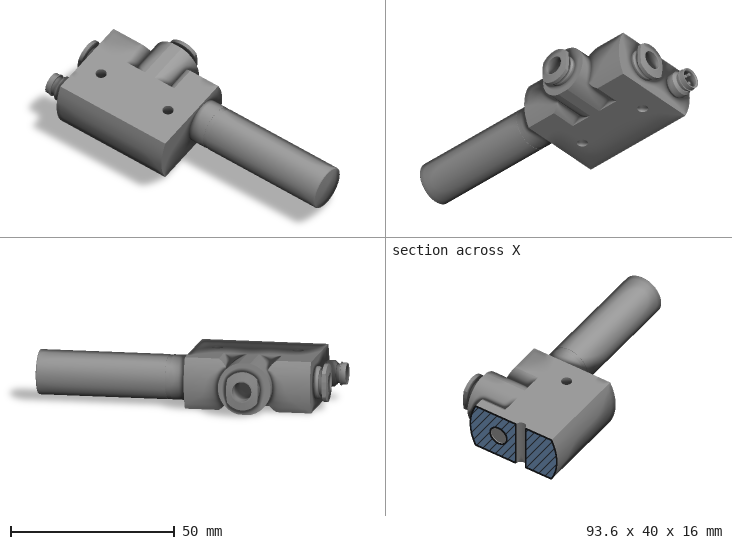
import cadquery as cq
import math

BODY_LENGTH = 39.2
BODY_WIDTH = 32.0
BODY_HEIGHT = 16.0
SIDE_BULGE = 2.0

BOSS_X = 19.65
BOSS_RADIUS = 8.2
BOSS_END_Y = 19.8

POCKET_HALF_WIDTH = 9.05
POCKET_FLOOR_Y = 5.5
POCKET_INNER_OFFSET = 6.4
POCKET_WALL_RADIUS = 6.0

HOLE_DIAMETER = 3.4
HOLE_SPACING = 25.0
HOLES_CENTRE_X = 19.7
HOLE_Y = -2.65

TUBE_Y = 5.55
TUBE_DIAMETER = 13.8
TUBE_LENGTH = 47.5
GROOVE_DIAMETER = 13.6
GROOVE_START = 5.1
GROOVE_WIDTH = 1.4
DOME_DIAMETER = 13.4
DOME_HEIGHT = 0.85
END_CHAMFER_LENGTH = 0.2

FITTING_HEIGHT = 4.2
FLANGE_DIAMETER = 10.0
FLANGE_RIM_DIAMETER = 9.2
FLANGE_CYLINDER_HEIGHT = 0.9
FLANGE_HEIGHT = 1.4
NECK_DIAMETER = 8.0
RING_BASE_HEIGHT = 2.6
RING_EDGE_HEIGHT = 3.8
RING_RADIUS = 5.85
RING_FACE_RADIUS = 3.4
RING_FLAT_OFFSET = 4.9
RING_FLAT_HALF_LENGTH = 1.1
RING_SHOULDER_OFFSET = 4.6
BORE_DIAMETER = 6.0
BORE_DEPTH = 12.0

PLUG_Y = -8.9
PLUG_LENGTH = 6.9
PLUG_COLLAR_RADIUS = 4.0
PLUG_BASE_RADIUS = 3.5
PLUG_COLLAR_START = 0.85
PLUG_COLLAR_END = 3.05
PLUG_CONE_END = 3.9
PLUG_CONE_RADIUS = 3.3
PLUG_NECK_RADIUS = 3.0
PLUG_BEAD_START = 5.0
PLUG_BEAD_END = 5.25
PLUG_BEAD_RADIUS = 3.6
PLUG_TIP_RADIUS = 3.35
SOCKET_DIAMETER = 5.4
SOCKET_LIP_CHAMFER = 0.3
SOCKET_DEPTH = 4.0
PIN_DIAMETER = 1.0
PIN_CIRCLE_RADIUS = 1.65
PIN_LENGTH = 3.5
PIN_ANGLES = (-90, 0, 90)

TOP_Z = BODY_HEIGHT / 2
SIDE_Y = BODY_WIDTH / 2


def revolve_profile(points):
    """Solid of revolution about Z from (radius, height) points."""
    return cq.Workplane("XZ").polyline(points).close().revolve(360, (0, 0), (0, 1))


def make_block():
    edge_y = SIDE_Y - SIDE_BULGE
    return (
        cq.Workplane("YZ")
        .moveTo(-edge_y, -TOP_Z)
        .lineTo(edge_y, -TOP_Z)
        .threePointArc((SIDE_Y, 0), (edge_y, TOP_Z))
        .lineTo(-edge_y, TOP_Z)
        .threePointArc((-SIDE_Y, 0), (-edge_y, -TOP_Z))
        .close()
        .extrude(BODY_LENGTH)
    )


def make_boss():
    length = BOSS_END_Y - POCKET_FLOOR_Y
    cylinder = (
        cq.Workplane("XZ", origin=(BOSS_X, BOSS_END_Y, 0))
        .circle(BOSS_RADIUS)
        .extrude(length)
    )
    slab = cq.Workplane("XY").box(BODY_LENGTH, BODY_WIDTH * 2, BODY_HEIGHT)
    return cylinder.intersect(slab.translate((BOSS_X, 0, 0)))


def make_pocket():
    """Upper relief with convex sloping walls; the boss is added back inside it."""
    inner_z = math.sqrt(BOSS_RADIUS**2 - POCKET_INNER_OFFSET**2)
    length = BODY_WIDTH - POCKET_FLOOR_Y
    return (
        cq.Workplane("XZ", origin=(BOSS_X, BODY_WIDTH, 0))
        .moveTo(-POCKET_HALF_WIDTH, TOP_Z)
        .radiusArc((-POCKET_INNER_OFFSET, inner_z), POCKET_WALL_RADIUS)
        .lineTo(POCKET_INNER_OFFSET, inner_z)
        .radiusArc((POCKET_HALF_WIDTH, TOP_Z), POCKET_WALL_RADIUS)
        .close()
        .extrude(length)
    )


def make_hole(x):
    return (
        cq.Workplane("XY", origin=(x, HOLE_Y, -TOP_Z))
        .circle(HOLE_DIAMETER / 2)
        .extrude(BODY_HEIGHT)
    )


def make_tube():
    """Tube along +Z from the origin, with a shallow groove, an end chamfer and a domed end."""
    radius = TUBE_DIAMETER / 2
    groove_radius = GROOVE_DIAMETER / 2
    groove_end = GROOVE_START + GROOVE_WIDTH
    dome_radius = DOME_DIAMETER / 2
    dome_base = TUBE_LENGTH - DOME_HEIGHT
    sphere_radius = (dome_radius**2 + DOME_HEIGHT**2) / (2 * DOME_HEIGHT)
    mid_angle = math.asin(dome_radius / sphere_radius) / 2
    dome_mid = (
        sphere_radius * math.sin(mid_angle),
        TUBE_LENGTH - sphere_radius * (1 - math.cos(mid_angle)),
    )
    return (
        cq.Workplane("XZ")
        .lineTo(radius, 0)
        .lineTo(radius, GROOVE_START)
        .lineTo(groove_radius, GROOVE_START)
        .lineTo(groove_radius, groove_end)
        .lineTo(radius, groove_end)
        .lineTo(radius, dome_base - END_CHAMFER_LENGTH)
        .lineTo(dome_radius, dome_base)
        .threePointArc(dome_mid, (0, TUBE_LENGTH))
        .close()
        .revolve(360, (0, 0), (0, 1))
    )


def make_release_ring():
    """Round ring with a conical face, narrowed in local X by bowed flats."""
    disc = revolve_profile([
        (0, RING_BASE_HEIGHT),
        (RING_RADIUS, RING_BASE_HEIGHT),
        (RING_RADIUS, RING_EDGE_HEIGHT),
        (RING_FACE_RADIUS, FITTING_HEIGHT),
        (0, FITTING_HEIGHT),
    ])
    shoulder_y = math.sqrt(RING_RADIUS**2 - RING_SHOULDER_OFFSET**2)
    right_side = [
        (RING_SHOULDER_OFFSET, -RING_RADIUS),
        (RING_SHOULDER_OFFSET, -shoulder_y),
        (RING_FLAT_OFFSET, -RING_FLAT_HALF_LENGTH),
        (RING_FLAT_OFFSET, RING_FLAT_HALF_LENGTH),
        (RING_SHOULDER_OFFSET, shoulder_y),
        (RING_SHOULDER_OFFSET, RING_RADIUS),
    ]
    left_side = [(-x, -y) for x, y in right_side]
    outline = cq.Workplane("XY").polyline(right_side + left_side).close().extrude(FITTING_HEIGHT)
    return disc.intersect(outline)


def make_fitting():
    """Hose fitting along +Z from the origin, not yet bored."""
    base = revolve_profile([
        (0, 0),
        (FLANGE_DIAMETER / 2, 0),
        (FLANGE_DIAMETER / 2, FLANGE_CYLINDER_HEIGHT),
        (FLANGE_RIM_DIAMETER / 2, FLANGE_HEIGHT),
        (NECK_DIAMETER / 2, FLANGE_HEIGHT),
        (NECK_DIAMETER / 2, RING_BASE_HEIGHT),
        (0, RING_BASE_HEIGHT),
    ])
    return base.union(make_release_ring())


def make_fitting_bore():
    """Blind bore entering the fitting from its outer face."""
    bottom = cq.Workplane("XY", origin=(0, 0, FITTING_HEIGHT - BORE_DEPTH))
    return bottom.circle(BORE_DIAMETER / 2).extrude(BORE_DEPTH)


def make_plug():
    """Electrical plug along +Z from the origin, with three pins in its socket."""
    shell = revolve_profile([
        (0, 0),
        (PLUG_BASE_RADIUS, 0),
        (PLUG_COLLAR_RADIUS, PLUG_COLLAR_START),
        (PLUG_COLLAR_RADIUS, PLUG_COLLAR_END),
        (PLUG_CONE_RADIUS, PLUG_CONE_END),
        (PLUG_NECK_RADIUS, PLUG_CONE_END),
        (PLUG_NECK_RADIUS, PLUG_BEAD_START),
        (PLUG_BEAD_RADIUS, PLUG_BEAD_START),
        (PLUG_BEAD_RADIUS, PLUG_BEAD_END),
        (PLUG_TIP_RADIUS, PLUG_BEAD_END),
        (PLUG_TIP_RADIUS, PLUG_LENGTH),
        (0, PLUG_LENGTH),
    ])
    socket_radius = SOCKET_DIAMETER / 2
    floor_height = PLUG_LENGTH - SOCKET_DEPTH
    socket = revolve_profile([
        (0, floor_height),
        (socket_radius, floor_height),
        (socket_radius, PLUG_LENGTH - SOCKET_LIP_CHAMFER),
        (socket_radius + SOCKET_LIP_CHAMFER, PLUG_LENGTH),
        (0, PLUG_LENGTH),
    ])
    plug = shell.cut(socket)
    floor = cq.Workplane("XY", origin=(0, 0, floor_height))
    for angle in PIN_ANGLES:
        x = PIN_CIRCLE_RADIUS * math.cos(math.radians(angle))
        y = PIN_CIRCLE_RADIUS * math.sin(math.radians(angle))
        plug = plug.union(floor.center(x, y).circle(PIN_DIAMETER / 2).extrude(PIN_LENGTH))
    return plug


def place(shape, origin, x_direction, direction):
    """Move a shape built along +Z so that it points along the given direction."""
    plane = cq.Plane(origin=origin, xDir=x_direction, normal=direction)
    return cq.Workplane(obj=shape.val().moved(cq.Location(plane)))


def on_left_end(shape, y):
    return place(shape, (0, y, 0), (0, 1, 0), (-1, 0, 0))


def on_boss_end(shape):
    return place(shape, (BOSS_X, BOSS_END_Y, 0), (1, 0, 0), (0, 1, 0))


pocket = make_pocket()
result = make_block().cut(pocket).cut(pocket.mirror("XY")).union(make_boss())

for side in (-1, 1):
    result = result.cut(make_hole(HOLES_CENTRE_X + side * HOLE_SPACING / 2))

result = result.union(place(make_tube(), (BODY_LENGTH, TUBE_Y, 0), (0, 1, 0), (1, 0, 0)))
result = result.union(on_left_end(make_plug(), PLUG_Y))

result = result.union(on_left_end(make_fitting(), TUBE_Y)).union(on_boss_end(make_fitting()))
result = result.cut(on_left_end(make_fitting_bore(), TUBE_Y)).cut(on_boss_end(make_fitting_bore()))